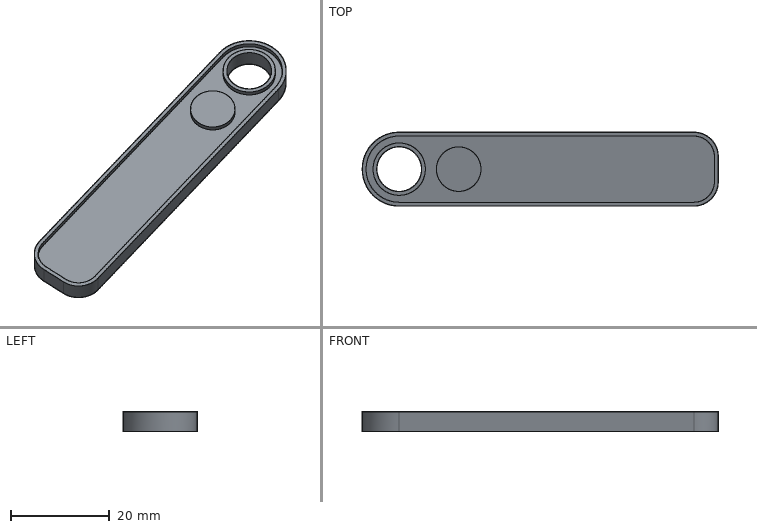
import cadquery as cq

length = 72.0
width = 15.0
thickness = 4.0
corner_radius = 5.0
end_radius = width / 2

rim_wall = 0.8
tray_depth = 1.0
floor_height = thickness - tray_depth

hole_diameter = 9.0
ring_diameter = 10.6

pad_diameter = 9.0
pad_spacing = 12.0


def tag_outline(inset, base_height):
    """Tag outline on a horizontal plane, moved inward by inset; the hole axis is at the origin."""
    half_width = end_radius - inset
    corner = corner_radius - inset
    right = length - end_radius - inset
    corner_mid = corner * 0.5 ** 0.5
    corner_x = right - corner
    corner_y = half_width - corner
    return (
        cq.Workplane("XY", origin=(0, 0, base_height))
        .moveTo(0, -half_width)
        .lineTo(corner_x, -half_width)
        .threePointArc((corner_x + corner_mid, -corner_y - corner_mid), (right, -corner_y))
        .lineTo(right, corner_y)
        .threePointArc((corner_x + corner_mid, corner_y + corner_mid), (corner_x, half_width))
        .lineTo(0, half_width)
        .threePointArc((-half_width, 0), (0, -half_width))
        .close()
    )


def round_boss(center_x, diameter):
    """Full-height disc whose top is flush with the rim of the tray."""
    return cq.Workplane("XY").center(center_x, 0).circle(diameter / 2).extrude(thickness)


body = tag_outline(0, 0).extrude(thickness)
tray = tag_outline(rim_wall, floor_height).extrude(tray_depth)
ring = round_boss(0, ring_diameter)
pad = round_boss(pad_spacing, pad_diameter)
hole = cq.Workplane("XY").circle(hole_diameter / 2).extrude(thickness)

result = body.cut(tray).union(ring).union(pad).cut(hole)